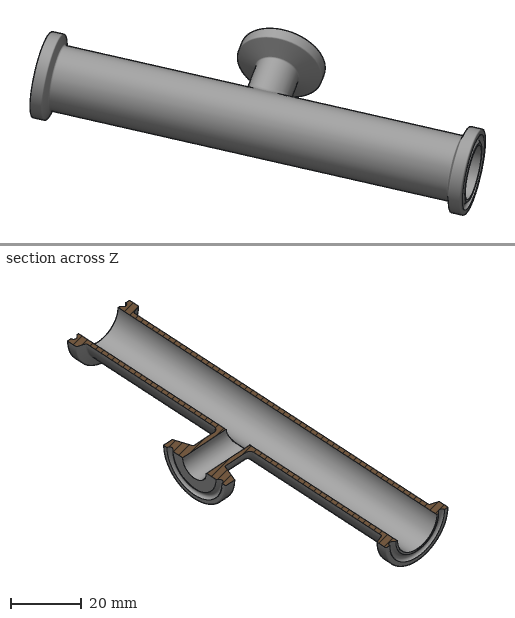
import cadquery as cq
import math

run_length = 127.0
overall_depth = 37.8

run_diameter = 19.0
run_bore = 15.7
branch_diameter = 12.7
branch_bore = 9.4
branch_fillet = 1.7

flange_diameter = 25.0
rim_width = 3.7
flange_fillet = 0.4
cone_angle = 20.0

groove_diameter = 21.8
groove_radius = 0.95
groove_inner_diameter = 17.1

branch_reach = overall_depth - flange_diameter / 2


def flange(tube_diameter):
    """Clamp flange with its face on the XY plane, its body towards +Z."""
    tube_radius = tube_diameter / 2
    flange_radius = flange_diameter / 2
    cone_length = (flange_radius - tube_radius) * math.tan(math.radians(cone_angle))
    cone_end = rim_width + cone_length
    stub_end = cone_end + 2 * flange_fillet
    body = (
        cq.Workplane("XZ")
        .moveTo(0, 0)
        .lineTo(flange_radius, 0)
        .lineTo(flange_radius, rim_width)
        .lineTo(tube_radius, cone_end)
        .lineTo(tube_radius, stub_end)
        .lineTo(0, stub_end)
        .close()
        .revolve(360, (0, 0), (0, 1))
    )
    return body.edges("%CIRCLE").edges("not >Z").fillet(flange_fillet)


def gasket_groove():
    """Ring to cut from a flange face on the XY plane, reaching towards +Z."""
    outer_radius = groove_diameter / 2
    inner_radius = groove_inner_diameter / 2
    center_radius = outer_radius - groove_radius
    wall_angle = math.asin(groove_radius / (center_radius - inner_radius))
    tangent_point = (
        center_radius - groove_radius * math.sin(wall_angle),
        groove_radius * math.cos(wall_angle),
    )
    return (
        cq.Workplane("XZ")
        .moveTo(inner_radius, 0)
        .lineTo(*tangent_point)
        .threePointArc((center_radius, groove_radius), (outer_radius, 0))
        .close()
        .revolve(360, (0, 0), (0, 1))
    )


def at_run_start(shape):
    """Move a face-down shape to the -X end of the run."""
    return shape.rotate((0, 0, 0), (0, 1, 0), 90).translate((-run_length / 2, 0, 0))


def at_run_end(shape):
    """Move a face-down shape to the +X end of the run."""
    return at_run_start(shape).mirror("YZ")


def at_branch_end(shape):
    """Move a face-down shape to the +Y end of the branch."""
    return shape.rotate((0, 0, 0), (1, 0, 0), 90).translate((0, branch_reach, 0))


def run_cylinder(diameter):
    """Cylinder along the whole run."""
    return cq.Workplane("YZ").circle(diameter / 2).extrude(run_length / 2, both=True)


def branch_cylinder(diameter):
    """Cylinder from the run axis to the branch flange face."""
    return cq.Workplane("XZ").circle(diameter / 2).extrude(-branch_reach)


joint_box = cq.selectors.BoxSelector(
    (-branch_diameter, 0, -branch_diameter),
    (branch_diameter, run_diameter / 2 + branch_fillet, branch_diameter),
)
tee = run_cylinder(run_diameter).union(branch_cylinder(branch_diameter))
tee = tee.edges(joint_box).edges("not %LINE").fillet(branch_fillet)

tee = tee.union(at_run_start(flange(run_diameter)))
tee = tee.union(at_run_end(flange(run_diameter)))
tee = tee.union(at_branch_end(flange(branch_diameter)))

tee = tee.cut(run_cylinder(run_bore)).cut(branch_cylinder(branch_bore))

for place in (at_run_start, at_run_end, at_branch_end):
    tee = tee.cut(place(gasket_groove()))

result = tee